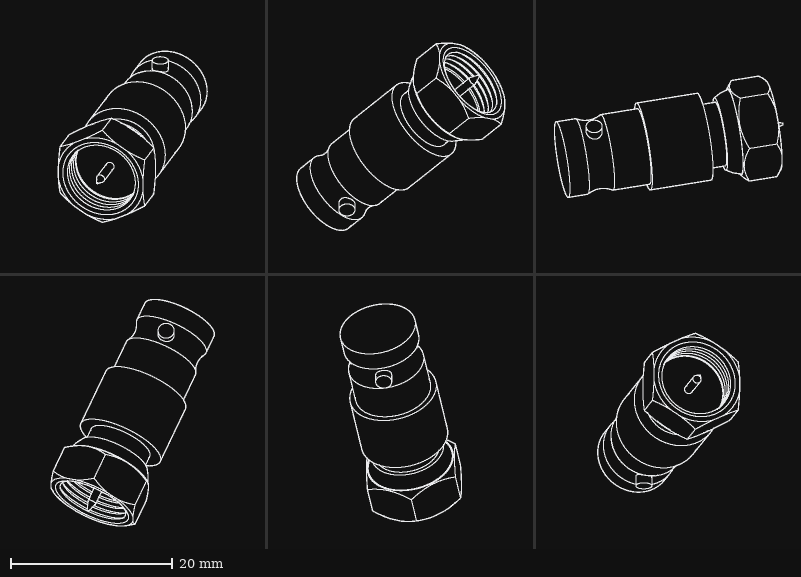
import cadquery as cq
import math


pin_radius = 0.52
pin_tip_radius = 0.1
pin_cone_length = 1.25
pin_protrusion = 1.27

nut_flats = 11.13
nut_length = 4.9
front_chamfer_radius = 5.62
front_chamfer_depth = 0.65
rear_chamfer_radius = 5.45
rear_chamfer_depth = 0.76

thread_minor_radius = 4.46
thread_major_radius = 4.97
thread_pitch = 0.76
thread_flank_length = 0.31
thread_count = 5
thread_relief = 0.25

collar_front_radius = 5.32
collar_rear_radius = 4.56
collar_length = 1.8
collar_bulge = 0.12

neck_radius = 4.02
neck_length = 2.03
sleeve_radius = 5.48
sleeve_length = 7.7
barrel_radius = 4.77
overall_length = 28.0

groove_floor_radius = 4.33
groove_width = 3.2
rear_ring_length = 2.46
lug_diameter = 2.0
lug_span = 11.0

collar_end = nut_length + collar_length
neck_end = collar_end + neck_length
sleeve_end = neck_end + sleeve_length
rear_end = overall_length - pin_protrusion
groove_rear = rear_end - rear_ring_length
groove_front = groove_rear - groove_width
groove_center = (groove_front + groove_rear) / 2
bore_depth = (thread_count - 1) * thread_pitch + thread_flank_length + thread_relief

nut_corner_radius = nut_flats / math.sqrt(3)


def revolve_about_y(profile):
    """Revolve a closed (radius, y) profile about the Y axis."""
    return profile.close().revolve(360, (0, 0, 0), (0, 1, 0))


def make_body():
    """Collar, neck, sleeve and grooved barrel, behind the nut."""
    collar_mid_radius = (collar_front_radius + collar_rear_radius) / 2 + collar_bulge
    profile = (
        cq.Workplane("XY")
        .moveTo(0, nut_length)
        .lineTo(collar_front_radius, nut_length)
        .threePointArc(
            (collar_mid_radius, nut_length + collar_length / 2),
            (collar_rear_radius, collar_end),
        )
        .lineTo(neck_radius, collar_end)
        .lineTo(neck_radius, neck_end)
        .lineTo(sleeve_radius, neck_end)
        .lineTo(sleeve_radius, sleeve_end)
        .lineTo(barrel_radius, sleeve_end)
        .lineTo(barrel_radius, groove_front)
        .threePointArc((groove_floor_radius, groove_center), (barrel_radius, groove_rear))
        .lineTo(barrel_radius, rear_end)
        .lineTo(0, rear_end)
    )
    return revolve_about_y(profile)


def make_nut():
    """Hexagon with corners on Z, its ends trimmed by conical chamfers."""
    hexagon = (
        cq.Workplane("XZ")
        .polygon(6, 2 * nut_corner_radius)
        .extrude(-nut_length)
        .rotate((0, 0, 0), (0, 1, 0), 90)
    )
    chamfer_envelope = (
        cq.Workplane("XY")
        .moveTo(0, 0)
        .lineTo(front_chamfer_radius, 0)
        .lineTo(nut_corner_radius, front_chamfer_depth)
        .lineTo(nut_corner_radius, nut_length - rear_chamfer_depth)
        .lineTo(rear_chamfer_radius, nut_length)
        .lineTo(0, nut_length)
    )
    return hexagon.intersect(revolve_about_y(chamfer_envelope))


def make_threaded_bore():
    """Blind bore with V-shaped thread rings, ending in a short plain relief."""
    profile = cq.Workplane("XY").moveTo(0, 0).lineTo(thread_major_radius, 0)
    for index in range(thread_count):
        ring_start = index * thread_pitch
        if index > 0:
            profile = profile.lineTo(thread_major_radius, ring_start)
        profile = profile.lineTo(thread_minor_radius, ring_start + thread_flank_length)
    profile = profile.lineTo(thread_minor_radius, bore_depth).lineTo(0, bore_depth)
    return revolve_about_y(profile)


def make_center_pin():
    """Round pin with a tapered tip, standing on the bore floor."""
    profile = (
        cq.Workplane("XY")
        .moveTo(0, -pin_protrusion)
        .lineTo(pin_tip_radius, -pin_protrusion)
        .lineTo(pin_radius, pin_cone_length - pin_protrusion)
        .lineTo(pin_radius, nut_length)
        .lineTo(0, nut_length)
    )
    return revolve_about_y(profile)


def make_lugs():
    """Bayonet lugs: one cross pin through the barrel along Z."""
    return (
        cq.Workplane("XY")
        .center(0, groove_center)
        .circle(lug_diameter / 2)
        .extrude(lug_span / 2, both=True)
    )


result = (
    make_nut()
    .cut(make_threaded_bore())
    .union(make_body())
    .union(make_center_pin())
    .union(make_lugs())
)